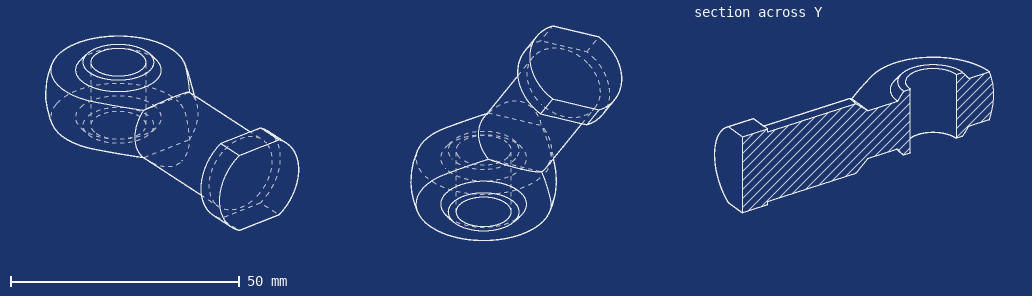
import cadquery as cq
import math

total_length = 66.0
head_diameter = 31.9
head_thickness = 12.0
ball_diameter = 22.25
ball_height = 16.0
bore_diameter = 12.0
shank_diameter = 17.5
neck_end_x = 17.1
shoulder_length = 3.2
collar_diameter = 22.0
collar_length = 6.6
collar_flats = 19.0

head_radius = head_diameter / 2
shank_radius = shank_diameter / 2
collar_radius = collar_diameter / 2
end_x = total_length - head_radius
collar_x = end_x - collar_length
shoulder_rise = shank_radius - head_thickness / 2

neck_end_distance = math.hypot(neck_end_x, shank_radius)
tangent_angle = math.atan2(shank_radius, neck_end_x) + math.acos(head_radius / neck_end_distance)
tangent_x = head_radius * math.cos(tangent_angle)
tangent_y = head_radius * math.sin(tangent_angle)


def revolved_body():
    """Spherical head, conical neck and cylindrical shank, turned about X."""
    arc_mid_angle = (math.pi + tangent_angle) / 2
    arc_mid = (head_radius * math.cos(arc_mid_angle), head_radius * math.sin(arc_mid_angle))
    return (
        cq.Workplane("XY")
        .moveTo(-head_radius, 0)
        .threePointArc(arc_mid, (tangent_x, tangent_y))
        .lineTo(neck_end_x, shank_radius)
        .lineTo(end_x, shank_radius)
        .lineTo(end_x, 0)
        .close()
        .revolve(360, (0, 0, 0), (1, 0, 0))
    )


def side_envelope():
    """Flat head faces with sloped shoulders rising to the full shank height."""
    half_head = head_thickness / 2
    shoulder_end_x = neck_end_x + shoulder_length
    top_height = half_head + shoulder_rise
    return (
        cq.Workplane("XZ")
        .moveTo(-head_radius, -half_head)
        .lineTo(neck_end_x, -half_head)
        .lineTo(shoulder_end_x, -top_height)
        .lineTo(end_x, -top_height)
        .lineTo(end_x, top_height)
        .lineTo(shoulder_end_x, top_height)
        .lineTo(neck_end_x, half_head)
        .lineTo(-head_radius, half_head)
        .close()
        .extrude(head_radius, both=True)
    )


def collar():
    """Round end collar with two wrench flats facing +Z and -Z."""
    disc = cq.Workplane("YZ", origin=(collar_x, 0, 0)).circle(collar_radius).extrude(collar_length)
    flats = cq.Workplane("XY").box(2 * end_x, collar_diameter, collar_flats)
    return disc.intersect(flats)


def ball():
    """Spherical bearing ball with flat top and bottom."""
    slab = cq.Workplane("XY").box(ball_diameter, ball_diameter, ball_height)
    return cq.Workplane("XY").sphere(ball_diameter / 2).intersect(slab)


bore = cq.Workplane("XY").circle(bore_diameter / 2).extrude(ball_height, both=True)

result = revolved_body().intersect(side_envelope()).union(collar()).union(ball()).cut(bore)